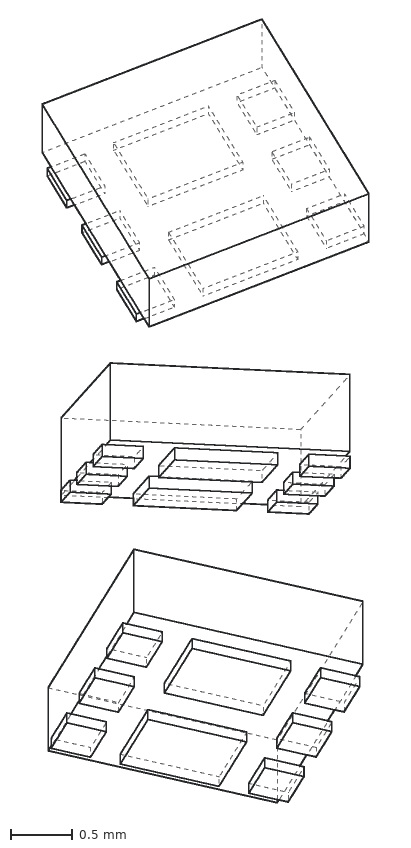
import cadquery as cq

body_side = 2.0
total_height = 0.75

contact_thickness = 0.101
lead_span = 2.07
lead_width = 0.368
lead_length = 0.344
lead_pitch = 0.65
leads_per_side = 3

pad_length = 0.861
pad_gap = 0.383
pad_outer_x = lead_pitch + lead_width / 2
pad_width = pad_outer_x - pad_gap / 2


def make_block(size_x, size_y, height, x, y, z):
    """Rectangular block centred on (x, y) with its underside at z."""
    block = cq.Workplane("XY").box(size_x, size_y, height, centered=(True, True, False))
    return block.translate((x, y, z))


def make_housing():
    """Square body standing on the contacts."""
    height = total_height - contact_thickness
    return make_block(body_side, body_side, height, 0, 0, contact_thickness)


def make_lead(index, side):
    """Lead at the given place in its row, on the -Y (-1) or +Y (+1) side."""
    x = (index - (leads_per_side - 1) / 2) * lead_pitch
    y = side * (lead_span - lead_length) / 2
    return make_block(lead_width, lead_length, contact_thickness, x, y, 0)


def make_pad(side):
    """Large central pad on the -X (-1) or +X (+1) side."""
    x = side * (pad_gap + pad_width) / 2
    return make_block(pad_width, pad_length, contact_thickness, x, 0, 0)


housing = make_housing()
leads = [make_lead(index, side) for side in (-1, 1) for index in range(leads_per_side)]
pads = [make_pad(side) for side in (-1, 1)]

result = cq.Compound.makeCompound(
    [housing.val()] + [lead.val() for lead in leads] + [pad.val() for pad in pads]
)